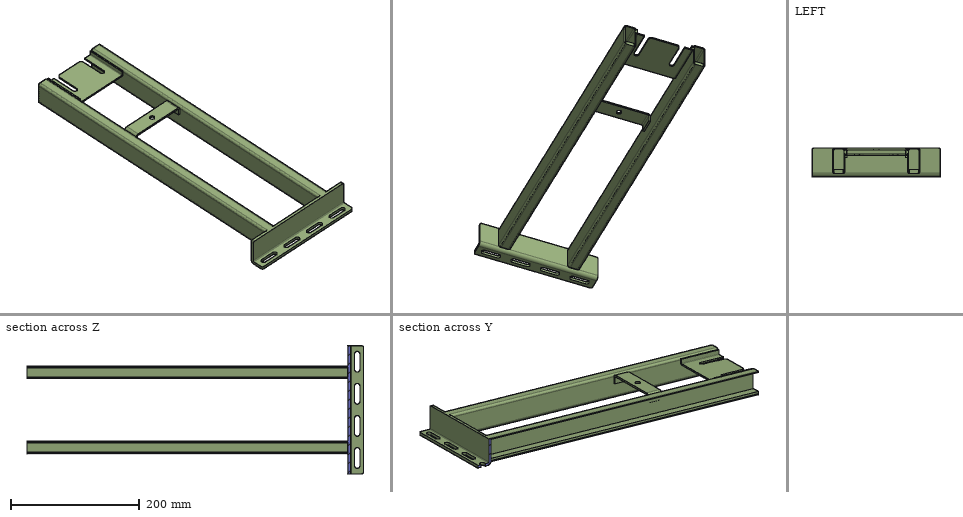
import cadquery as cq

frame_length = 525.0
frame_width = 200.0
frame_height = 45.0

angle_thickness = 5.0
angle_flange_width = 25.0
angle_outer_bend = 6.0
angle_inner_bend = angle_outer_bend - angle_thickness
angle_corner_radius = 3.0
mount_slot_count = 4
mount_slot_pitch = 50.0
mount_slot_length = 32.0
mount_slot_width = 8.0

rail_length = frame_length - angle_flange_width
rail_width = 20.0
rail_height = 40.0
rail_wall = 2.0
rail_outer_radius = 4.0
rail_inner_radius = rail_outer_radius - rail_wall
rail_bar_width = 14.0
rail_bar_top = 11.0
rail_gap = 97.0
rail_bottom = frame_height - rail_height
rail_floor = rail_bottom + rail_wall
rail_offset = (rail_gap + rail_width) / 2

tray_length = 70.0
tray_thickness = 2.5
tray_bottom = 33.0
tray_inner_bend = 0.5
tray_outer_bend = tray_inner_bend + tray_thickness
tray_height = 10.0
tray_slot_spacing = 60.0
tray_slot_width = 8.0
tray_slot_depth = 46.0
tray_tongue_radius = 5.0

strap_start = 170.0
strap_width = 25.0
strap_thickness = 3.0
strap_height = 15.0
strap_outer_bend = 5.0
strap_inner_bend = strap_outer_bend - strap_thickness
strap_hole_diameter = 8.0


def block(x_start, length, width, z_bottom, height):
    """Box centred on Y = 0, starting at the given X and Z."""
    box = cq.Workplane("XY").box(length, width, height, centered=(False, True, False))
    return box.translate((x_start, 0, z_bottom))


def make_rail(y_center):
    """Rectangular tube with a flat bar lying on its floor."""
    outer = block(0, rail_length, rail_width, rail_bottom, rail_height)
    outer = outer.edges("|X").fillet(rail_outer_radius)
    bore = block(
        0,
        rail_length,
        rail_width - 2 * rail_wall,
        rail_floor,
        rail_height - 2 * rail_wall,
    )
    bore = bore.edges("|X").fillet(rail_inner_radius)
    bar = block(0, rail_length, rail_bar_width, rail_floor, rail_bar_top - rail_floor)
    return outer.cut(bore).union(bar).translate((0, y_center, 0))


def make_end_angle():
    """Bent angle: an upright leg that closes the rails and a slotted flange."""
    outer = block(rail_length, angle_flange_width, frame_width, 0, frame_height)
    outer = outer.edges("|Y and <X and <Z").fillet(angle_outer_bend)
    relief = block(
        rail_length + angle_thickness, angle_flange_width, frame_width, angle_thickness, frame_height
    )
    relief = relief.edges("|Y and <X and <Z").fillet(angle_inner_bend)
    angle = outer.cut(relief)
    angle = angle.edges("|X and >Z").fillet(angle_corner_radius)
    angle = angle.edges("|Z and >X").fillet(angle_corner_radius)

    slot_x = rail_length + (angle_thickness + angle_flange_width) / 2
    slots = (
        cq.Workplane("XY")
        .center(slot_x, 0)
        .rarray(1, mount_slot_pitch, 1, mount_slot_count)
        .slot2D(mount_slot_length, mount_slot_width, 90)
        .extrude(angle_thickness)
    )
    return angle.cut(slots)


def make_tray():
    """U-shaped plate with its side flanges turned up against the rails."""
    outer = block(0, tray_length, rail_gap, tray_bottom, tray_height)
    outer = outer.edges("|X and <Z").fillet(tray_outer_bend)
    hollow = block(
        0, tray_length, rail_gap - 2 * tray_thickness, tray_bottom + tray_thickness, tray_height
    )
    hollow = hollow.edges("|X and <Z").fillet(tray_inner_bend)
    tray = outer.cut(hollow)

    for side in (-1, 1):
        slot_y = side * tray_slot_spacing / 2
        slot_end_x = tray_slot_depth - tray_slot_width / 2
        slot = block(0, slot_end_x, tray_slot_width, tray_bottom, tray_thickness)
        slot_end = (
            cq.Workplane("XY", origin=(slot_end_x, 0, tray_bottom))
            .circle(tray_slot_width / 2)
            .extrude(tray_thickness)
        )
        tray = tray.cut(slot.union(slot_end).translate((0, slot_y, 0)))

    tongue_half_width = (tray_slot_spacing - tray_slot_width) / 2
    for side in (-1, 1):
        corner = cq.selectors.NearestToPointSelector(
            (0, side * tongue_half_width, tray_bottom + tray_thickness / 2)
        )
        tray = tray.edges(corner).fillet(tray_tongue_radius)
    return tray


def make_strap():
    """U-shaped strip with its side legs turned down against the rails."""
    strap_bottom = frame_height - strap_height
    outer = block(strap_start, strap_width, rail_gap, strap_bottom, strap_height)
    outer = outer.edges("|X and >Z").fillet(strap_outer_bend)
    hollow = block(
        strap_start,
        strap_width,
        rail_gap - 2 * strap_thickness,
        strap_bottom,
        strap_height - strap_thickness,
    )
    hollow = hollow.edges("|X and >Z").fillet(strap_inner_bend)
    hole = (
        cq.Workplane("XY", origin=(strap_start + strap_width / 2, 0, strap_bottom))
        .circle(strap_hole_diameter / 2)
        .extrude(strap_height)
    )
    return outer.cut(hollow).cut(hole)


result = make_end_angle()
for y_center in (-rail_offset, rail_offset):
    result = result.union(make_rail(y_center))
result = result.union(make_tray()).union(make_strap())